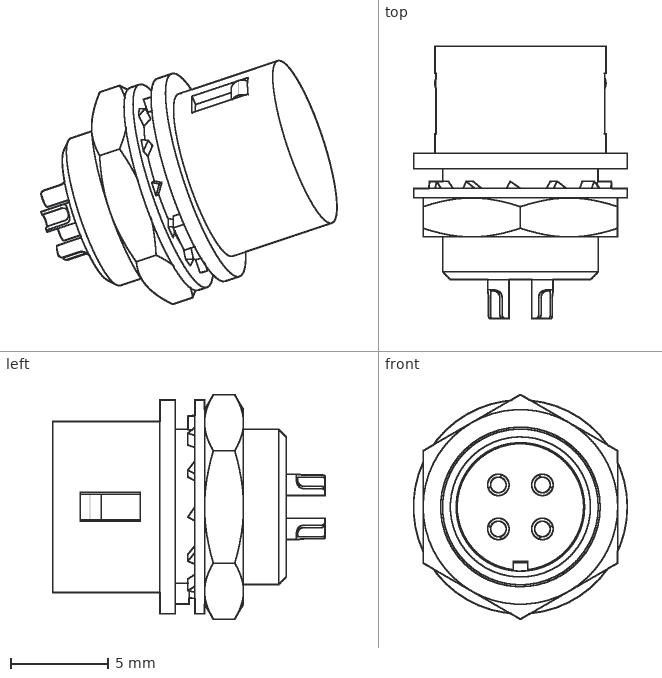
import cadquery as cq
import math


arc_middle = math.sqrt(0.5)

shell_back_y = 6.3
flange_thickness = 0.8
washer_back_y = -1.0
washer_thickness = 0.5
nut_back_y = washer_back_y - washer_thickness
nut_thickness = 2.0
nut_front_y = nut_back_y - nut_thickness
body_front_y = -5.7
pin_tip_y = -7.7

shell_radius = 4.4
flange_radius = 5.5
thread_radius = 4.0
thread_chamfer = 0.4

recess_radius = 3.3
recess_depth = 0.5
insert_chamfer = 0.05
insert_face_y = body_front_y + recess_depth

keyway_width = 0.75
keyway_top_z = -2.79
key_top_z = -2.87
key_nose_setback = 0.5

tab_width = 1.5
tab_length = 0.7
tab_reach = 5.0

window_half_angle = 9.75
window_floor_radius = shell_radius - 0.5
window_back_y = shell_back_y - 1.4
window_front_y = shell_back_y - 4.5
latch_peak_y = window_back_y - 0.5
latch_front_radius = 0.6

washer_radius = 5.5
tooth_count = 12
tooth_height = 0.36
tooth_peak_offset = 0.52
tooth_width = 0.71
tooth_tip_radius = 4.7

nut_sides = 6
nut_half_side_angle = 180 / nut_sides
nut_flats = 10.0
nut_chamfer_angle = 30.0
nut_bore_chamfer = 0.1

pin_radius = 0.55
pin_circle_radius = 1.6
pin_count = 4
first_pin_angle = 45
cup_radius = 0.4
cup_depth = 2.0
cup_floor_y = pin_tip_y + cup_depth
cup_opening_end_y = pin_tip_y + 1.5
cup_rim_height = 0.23
cup_run_out_radius = 0.4
cup_tip_round = 0.2


def disc(radius, back_y, front_y):
    """Solid cylinder on the Y axis between two stations."""
    return cq.Workplane("XZ", origin=(0, back_y, 0)).circle(radius).extrude(back_y - front_y)


def block(x_min, x_max, y_min, y_max, z_min, z_max):
    """Axis-aligned box given by its limits."""
    size = (x_max - x_min, y_max - y_min, z_max - z_min)
    return cq.Workplane("XY", origin=(x_min, y_min, z_min)).box(*size, centered=False)


def make_body():
    shell = disc(shell_radius, shell_back_y, flange_thickness)
    flange = disc(flange_radius, flange_thickness, 0)
    thread = disc(thread_radius, 0, body_front_y).faces("<Y").chamfer(thread_chamfer)
    return shell.union(flange).union(thread)


def make_recess():
    """Front recess, with the small chamfer around the edge of the insert."""
    return (
        cq.Workplane("XY")
        .moveTo(0, body_front_y)
        .lineTo(recess_radius, body_front_y)
        .lineTo(recess_radius, insert_face_y + insert_chamfer)
        .lineTo(recess_radius - insert_chamfer, insert_face_y)
        .lineTo(0, insert_face_y)
        .close()
        .revolve(360, (0, 0, 0), (0, 1, 0))
    )


def make_tab():
    return block(-tab_width / 2, tab_width / 2, -tab_length, 0, -tab_reach, 0)


def make_keyway():
    """Keyway volume: a slot into the insert less the key, whose nose is a vertical half round."""
    half_width = keyway_width / 2
    nose_center_y = insert_face_y + key_nose_setback + half_width
    slot = block(-half_width, half_width, insert_face_y, nose_center_y, -recess_radius, keyway_top_z)
    slot = slot.intersect(disc(recess_radius, nose_center_y, insert_face_y))
    key = (
        cq.Workplane("XY", origin=(0, nose_center_y, -recess_radius))
        .circle(half_width)
        .extrude(key_top_z + recess_radius)
    )
    return slot.cut(key)


def make_latch_window(side_angle):
    """Sector pocket in the shell, open to the outside."""
    window = (
        cq.Workplane("XY")
        .moveTo(window_floor_radius, window_back_y)
        .lineTo(window_floor_radius, window_front_y)
        .lineTo(flange_radius, window_front_y)
        .lineTo(flange_radius, window_back_y)
        .close()
        .revolve(2 * window_half_angle, (0, 0, 0), (0, 1, 0))
    )
    return window.rotate((0, 0, 0), (0, 1, 0), side_angle - window_half_angle)


def make_latch_bump(side_angle):
    """Rounded latch at the back of a window, as wide as the window floor and rooted in the insert."""
    half_width = window_floor_radius * math.sin(math.radians(window_half_angle))
    back_radius = window_back_y - latch_peak_y
    back_arc_x = shell_radius - back_radius
    front_arc_x = shell_radius - latch_front_radius
    bump = (
        cq.Workplane("XY", origin=(0, 0, -half_width))
        .moveTo(recess_radius, window_back_y)
        .lineTo(back_arc_x, window_back_y)
        .threePointArc(
            (back_arc_x + back_radius * arc_middle, latch_peak_y + back_radius * arc_middle),
            (shell_radius, latch_peak_y),
        )
        .threePointArc(
            (
                front_arc_x + latch_front_radius * arc_middle,
                latch_peak_y - latch_front_radius * arc_middle,
            ),
            (front_arc_x, latch_peak_y - latch_front_radius),
        )
        .lineTo(recess_radius, latch_peak_y - latch_front_radius)
        .close()
        .extrude(2 * half_width)
    )
    return bump.rotate((0, 0, 0), (0, 1, 0), side_angle)


def make_washer():
    washer = disc(washer_radius, washer_back_y, nut_back_y)
    tooth = (
        cq.Workplane("XY")
        .moveTo(0, washer_back_y)
        .lineTo(-tooth_peak_offset, washer_back_y + tooth_height)
        .lineTo(-tooth_width, washer_back_y)
        .lineTo(-tooth_width, nut_back_y)
        .lineTo(0, nut_back_y)
        .close()
        .extrude(tooth_tip_radius)
        .intersect(disc(tooth_tip_radius, washer_back_y + tooth_height, nut_back_y))
    )
    for index in range(tooth_count):
        washer = washer.union(tooth.rotate((0, 0, 0), (0, 1, 0), index * 360 / tooth_count))
    return washer


def make_nut():
    corner_radius = nut_flats / 2 / math.cos(math.radians(nut_half_side_angle))
    hexagon = (
        cq.Workplane("XZ", origin=(0, nut_back_y, 0))
        .polygon(nut_sides, 2 * corner_radius)
        .extrude(nut_thickness)
        .rotate((0, 0, 0), (0, 1, 0), nut_half_side_angle)
    )
    chamfer_drop = (corner_radius - nut_flats / 2) * math.tan(math.radians(nut_chamfer_angle))
    turned_shape = (
        cq.Workplane("XY")
        .moveTo(0, nut_back_y)
        .lineTo(nut_flats / 2, nut_back_y)
        .lineTo(corner_radius, nut_back_y - chamfer_drop)
        .lineTo(corner_radius, nut_front_y + chamfer_drop)
        .lineTo(nut_flats / 2, nut_front_y)
        .lineTo(thread_radius + nut_bore_chamfer, nut_front_y)
        .lineTo(thread_radius, nut_front_y + nut_bore_chamfer)
        .lineTo(0, nut_front_y + nut_bore_chamfer)
        .close()
        .revolve(360, (0, 0, 0), (0, 1, 0))
    )
    return hexagon.intersect(turned_shape)


def make_pin(angle):
    """Pin whose solder cup is milled open on the side facing away from the connector axis."""
    pin = disc(pin_radius, insert_face_y, pin_tip_y).cut(disc(cup_radius, cup_floor_y, pin_tip_y))
    run_out_x = cup_rim_height + cup_run_out_radius
    run_out_y = cup_opening_end_y - cup_run_out_radius
    round_x = cup_rim_height - cup_tip_round
    round_y = pin_tip_y + cup_tip_round
    opening = (
        cq.Workplane("XY", origin=(0, 0, -pin_radius))
        .moveTo(run_out_x, cup_opening_end_y)
        .threePointArc(
            (run_out_x - cup_run_out_radius * arc_middle, run_out_y + cup_run_out_radius * arc_middle),
            (cup_rim_height, run_out_y),
        )
        .lineTo(cup_rim_height, round_y)
        .threePointArc(
            (round_x + cup_tip_round * arc_middle, round_y - cup_tip_round * arc_middle),
            (round_x, pin_tip_y),
        )
        .lineTo(run_out_x, pin_tip_y)
        .close()
        .extrude(2 * pin_radius)
    )
    pin = pin.cut(opening).translate((pin_circle_radius, 0, 0))
    return pin.rotate((0, 0, 0), (0, 1, 0), angle)


result = make_body().union(make_tab()).cut(make_recess().union(make_keyway()))
for side_angle in (0, 180):
    result = result.cut(make_latch_window(side_angle)).union(make_latch_bump(side_angle))
result = result.union(make_washer())
result = result.union(make_nut())
for pin_index in range(pin_count):
    result = result.union(make_pin(first_pin_angle + pin_index * 360 / pin_count))